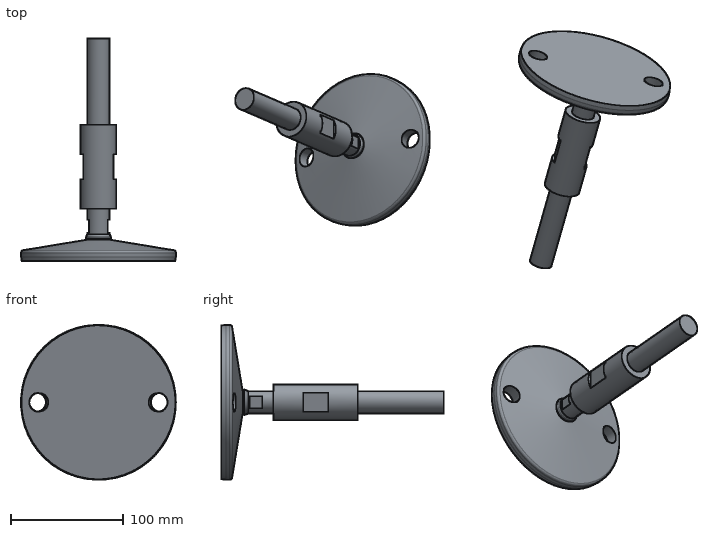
import cadquery as cq
import math

TOTAL_LENGTH = 198.0

FOOT_DIAMETER = 138.0
FOOT_RADIUS = FOOT_DIAMETER / 2
RIM_TAPER_HEIGHT = 4.0
RIM_TAPER_INSET = 0.55
RIM_CORNER_HEIGHT = 9.5
RIM_FILLET = 2.5
FOOT_TOP_HEIGHT = 19.0
FOOT_TOP_RADIUS = 11.0

HOLE_DIAMETER = 16.5
HOLE_BOTTOM_OFFSET = 53.0
CONE_ANGLE = math.atan2(FOOT_TOP_HEIGHT - RIM_CORNER_HEIGHT, FOOT_RADIUS - FOOT_TOP_RADIUS)

ROD_DIAMETER = 20.0
ROD_RADIUS = ROD_DIAMETER / 2
COLLAR_SEAT_RADIUS = 10.6
COLLAR_MAX_RADIUS = 11.5
COLLAR_STEP_RADIUS = 10.9
COLLAR_MAX_HEIGHT = 20.4
COLLAR_STEP_HEIGHT = 22.0
COLLAR_TOP_HEIGHT = 24.0
SLEEVE_DIAMETER = 32.0
SLEEVE_RADIUS = SLEEVE_DIAMETER / 2
SLEEVE_START = 46.5
SLEEVE_LENGTH = 75.0
SLEEVE_END = SLEEVE_START + SLEEVE_LENGTH

ROD_FLAT_WIDTH = 17.0
ROD_FLAT_START = 25.3
ROD_FLAT_LENGTH = 11.3
SLEEVE_FLAT_WIDTH = 27.0
SLEEVE_FLAT_LENGTH = 22.0
SLEEVE_FLAT_START = SLEEVE_START + (SLEEVE_LENGTH - SLEEVE_FLAT_LENGTH) / 2


def revolve_about_y(profile):
    return profile.close().revolve(360, (0, 0, 0), (0, 1, 0))


def mounting_hole(side):
    """Cutter for one hole, leaning outward on the given X side (+1 or -1)."""
    direction = cq.Vector(side * math.sin(CONE_ANGLE), math.cos(CONE_ANGLE), 0)
    centre = cq.Vector(side * HOLE_BOTTOM_OFFSET, 0, 0)
    start = centre - direction * FOOT_TOP_HEIGHT
    return cq.Solid.makeCylinder(HOLE_DIAMETER / 2, 2 * FOOT_TOP_HEIGHT, start, direction)


def make_foot():
    tangent = RIM_FILLET * math.tan((math.pi / 2 - CONE_ANGLE) / 2)
    arc_start = (FOOT_RADIUS, RIM_CORNER_HEIGHT - tangent)
    arc_centre = (FOOT_RADIUS - RIM_FILLET, arc_start[1])
    arc_end = (
        FOOT_RADIUS - tangent * math.cos(CONE_ANGLE),
        RIM_CORNER_HEIGHT + tangent * math.sin(CONE_ANGLE),
    )
    mid_angle = (math.pi / 2 - CONE_ANGLE) / 2
    arc_middle = (
        arc_centre[0] + RIM_FILLET * math.cos(mid_angle),
        arc_centre[1] + RIM_FILLET * math.sin(mid_angle),
    )
    foot = revolve_about_y(
        cq.Workplane("XY")
        .lineTo(FOOT_RADIUS - RIM_TAPER_INSET, 0)
        .lineTo(FOOT_RADIUS, RIM_TAPER_HEIGHT)
        .lineTo(*arc_start)
        .threePointArc(arc_middle, arc_end)
        .lineTo(FOOT_TOP_RADIUS, FOOT_TOP_HEIGHT)
        .lineTo(0, FOOT_TOP_HEIGHT)
    )
    for side in (-1, 1):
        foot = foot.cut(cq.Workplane(mounting_hole(side)))
    return foot


def cut_flats(body, width, start, length, diameter):
    """Mill two parallel flats, `width` apart in X, into a round of the given diameter."""
    for side in (-1, 1):
        cutter = (
            cq.Workplane("XY")
            .box(diameter, length, diameter)
            .translate((side * (width + diameter) / 2, start + length / 2, 0))
        )
        body = body.cut(cutter)
    return body


def make_spindle():
    spindle = revolve_about_y(
        cq.Workplane("XY")
        .moveTo(0, FOOT_TOP_HEIGHT)
        .lineTo(COLLAR_SEAT_RADIUS, FOOT_TOP_HEIGHT)
        .lineTo(COLLAR_MAX_RADIUS, COLLAR_MAX_HEIGHT)
        .lineTo(COLLAR_STEP_RADIUS, COLLAR_STEP_HEIGHT)
        .lineTo(ROD_RADIUS, COLLAR_TOP_HEIGHT)
        .lineTo(ROD_RADIUS, SLEEVE_START)
        .lineTo(SLEEVE_RADIUS, SLEEVE_START)
        .lineTo(SLEEVE_RADIUS, SLEEVE_END)
        .lineTo(ROD_RADIUS, SLEEVE_END)
        .lineTo(ROD_RADIUS, TOTAL_LENGTH)
        .lineTo(0, TOTAL_LENGTH)
    )
    spindle = cut_flats(spindle, ROD_FLAT_WIDTH, ROD_FLAT_START, ROD_FLAT_LENGTH, ROD_DIAMETER)
    return cut_flats(
        spindle, SLEEVE_FLAT_WIDTH, SLEEVE_FLAT_START, SLEEVE_FLAT_LENGTH, SLEEVE_DIAMETER
    )


foot = make_foot()
spindle = make_spindle()

result = cq.Compound.makeCompound([foot.val(), spindle.val()])